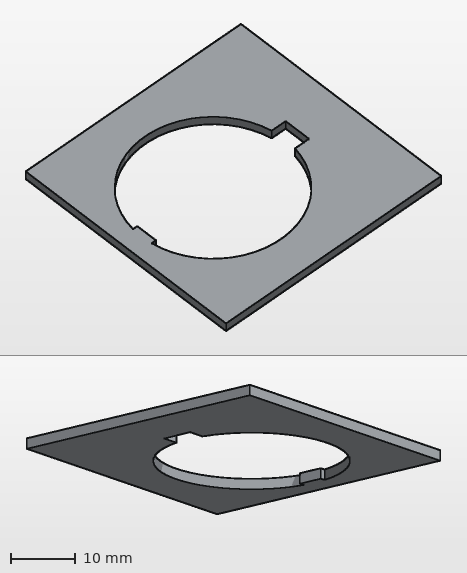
import cadquery as cq

plate_width = 44.8
plate_height = 45.75
plate_thickness = 1.7

hole_diameter = 30.3
hole_radius = hole_diameter / 2
hole_offset_y = -4.35

notch_width = 5.2
notch_reach = 17.9

tab_width = 4.2
tab_reach = 14.1


def make_plate():
    return cq.Workplane("XY").box(
        plate_width, plate_height, plate_thickness, centered=(True, True, False)
    )


def make_block(width, y_start, y_end):
    """Full-thickness block on the hole's centreline, between two heights above the hole centre."""
    return (
        cq.Workplane("XY")
        .center(0, hole_offset_y + (y_start + y_end) / 2)
        .rect(width, y_end - y_start)
        .extrude(plate_thickness)
    )


def make_opening():
    """Round opening with the keyway notch added and the locating tab left out."""
    disc = cq.Workplane("XY").center(0, hole_offset_y).circle(hole_radius).extrude(plate_thickness)
    notch = make_block(notch_width, 0, notch_reach)
    tab = make_block(tab_width, -hole_radius, -tab_reach)
    return disc.union(notch).cut(tab)


result = make_plate().cut(make_opening())